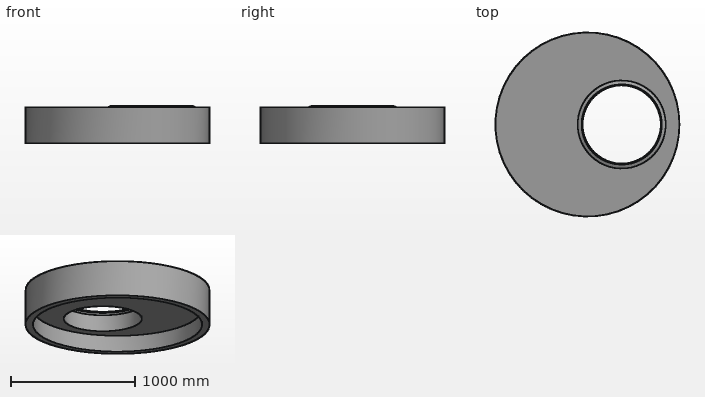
import cadquery as cq

slab_radius = 740.0
slab_height = 290.0
wall_thickness = 60.0
cavity_radius = slab_radius - wall_thickness
cavity_depth = 133.0

opening_offset = 275.0
opening_radius = 314.0
seat_radius = 323.0
seat_depth = 19.0
ledge_round_radius = 7.0

rim_outer_radius = 354.0
rim_height = 12.0


def make_slab():
    """Round slab, hollow underneath, with a stepped off-centre opening."""
    slab = cq.Workplane("XY").circle(slab_radius).extrude(slab_height)
    cavity = cq.Workplane("XY").circle(cavity_radius).extrude(cavity_depth)
    return slab.cut(cavity).cut(make_opening())


def make_opening():
    """Opening cutter: bore, rounded ledge and wider seat up to the slab top."""
    seat_bottom = slab_height - seat_depth
    opening = (
        cq.Workplane("XZ")
        .lineTo(opening_radius, 0)
        .lineTo(opening_radius, seat_bottom)
        .lineTo(seat_radius, seat_bottom)
        .lineTo(seat_radius, slab_height)
        .lineTo(0, slab_height)
        .close()
        .revolve(360, (0, 0, 0), (0, 1, 0))
    )
    ledge_edge = opening.edges(cq.selectors.RadiusNthSelector(0)).edges(">Z")
    return ledge_edge.fillet(ledge_round_radius).translate((opening_offset, 0, 0))


def make_rim():
    """Ring on the slab top whose outside slopes up to a thin inner edge."""
    return (
        cq.Workplane("XZ")
        .moveTo(seat_radius, 0)
        .lineTo(rim_outer_radius, 0)
        .lineTo(seat_radius, rim_height)
        .close()
        .revolve(360, (0, 0, 0), (0, 1, 0))
        .translate((opening_offset, 0, slab_height))
    )


slab = make_slab()
rim = make_rim()
result = cq.Compound.makeCompound([slab.val(), rim.val()])